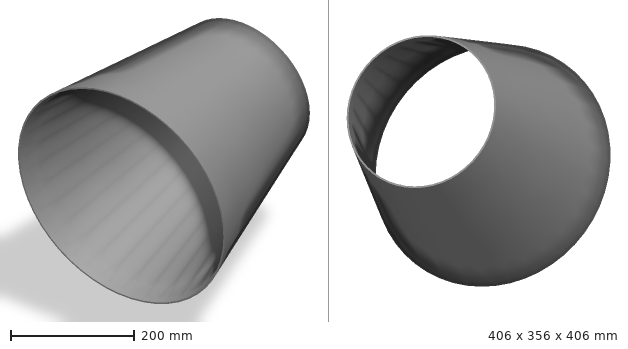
import cadquery as cq

large_diameter = 406.0
small_diameter = 256.0
length = 356.0
wall = 3.0

large_radius = large_diameter / 2
small_radius = small_diameter / 2

wide_end_y = -length / 2
narrow_end_y = length / 2

wall_section = (
    cq.Workplane("XY")
    .moveTo(large_radius - wall, wide_end_y)
    .lineTo(large_radius, wide_end_y)
    .lineTo(small_radius, narrow_end_y)
    .lineTo(small_radius - wall, narrow_end_y)
    .close()
)

result = wall_section.revolve(360, (0, 0, 0), (0, 1, 0))